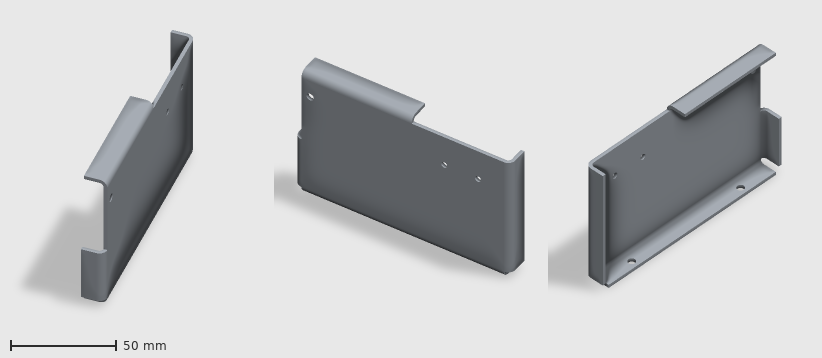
import cadquery as cq

depth = 12.0
length = 122.0
height = 77.0

sheet = 2.0
bend_radius = 4.0
inner_radius = bend_radius - sheet

plate_length = length - 2 * bend_radius
plate_height = height - 2 * bend_radius

top_flange_length = 62.0
side_flange_height = 30.0

large_hole = 4.1
small_hole = 3.4
corner_hole_y = 4.9
corner_hole_z = plate_height - 10.0
pair_first_y = 80.4
pair_spacing = 19.0
pair_z = 51.5
flange_hole_end_offset = 19.9
flange_hole_inset = 4.0


def flange(origin, outward, along, width):
    """Bend and flange leaving a plate edge toward -X.

    Local x runs outward in the plate plane and local y runs along +X or -X,
    so the extrusion always follows the plate edge.
    """
    profile_plane = cq.Plane(origin=origin, xDir=outward, normal=along)
    fold = -1 if profile_plane.yDir.x > 0 else 1
    diagonal = 0.5 ** 0.5
    outer_mid = (bend_radius * diagonal, fold * bend_radius * (1 - diagonal))
    inner_mid = (inner_radius * diagonal, fold * (bend_radius - inner_radius * diagonal))
    return (
        cq.Workplane(profile_plane)
        .moveTo(0, 0)
        .threePointArc(outer_mid, (bend_radius, fold * bend_radius))
        .lineTo(bend_radius, fold * depth)
        .lineTo(inner_radius, fold * depth)
        .lineTo(inner_radius, fold * bend_radius)
        .threePointArc(inner_mid, (0, fold * sheet))
        .close()
        .extrude(width)
    )


plate = cq.Workplane("XY").box(sheet, plate_length, plate_height, centered=False)
plate = plate.translate((-sheet, 0, 0))

bottom_flange = flange((0, 0, 0), (0, 0, -1), (0, 1, 0), plate_length)
top_flange = flange((0, 0, plate_height), (0, 0, 1), (0, 1, 0), top_flange_length)
short_side_flange = flange((0, 0, 0), (0, -1, 0), (0, 0, 1), side_flange_height)
full_side_flange = flange((0, plate_length, 0), (0, 1, 0), (0, 0, 1), plate_height)

body = plate.union(bottom_flange).union(top_flange)
body = body.union(short_side_flange).union(full_side_flange)

plate_holes = [
    (corner_hole_y, corner_hole_z, large_hole),
    (pair_first_y, pair_z, small_hole),
    (pair_first_y + pair_spacing, pair_z, small_hole),
]
for hole_y, hole_z, diameter in plate_holes:
    cutter = cq.Workplane("YZ").center(hole_y, hole_z).circle(diameter / 2).extrude(-sheet)
    body = body.cut(cutter)

flange_hole_x = flange_hole_inset - depth
for hole_y in (flange_hole_end_offset, plate_length - flange_hole_end_offset):
    cutter = (
        cq.Workplane("XY", origin=(flange_hole_x, hole_y, -bend_radius))
        .circle(large_hole / 2)
        .extrude(sheet)
    )
    body = body.cut(cutter)

result = body